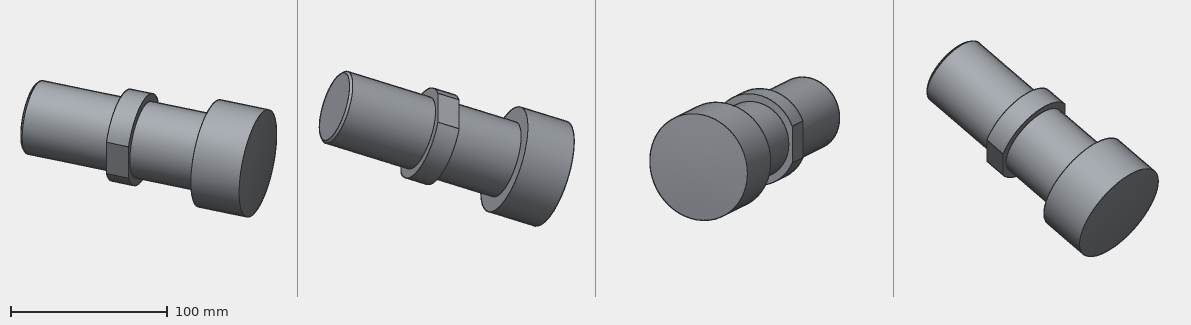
import cadquery as cq

total_length = 154.8
shank_diameter = 48.0
shank_length = 60.0
shank_chamfer = 1.5
collar_diameter = 60.0
collar_length = 15.0
collar_across_flats = 55.0
neck_diameter = 50.0
neck_length = 45.0
head_diameter = 70.0
dome_height = 1.9

collar_start = shank_length
neck_start = collar_start + collar_length
head_start = neck_start + neck_length
dome_start = total_length - dome_height


def cylinder_x(start, length, diameter):
    """Solid cylinder on the X axis, beginning at x = start."""
    return cq.Workplane("YZ", origin=(start, 0, 0)).circle(diameter / 2).extrude(length)


def make_shank():
    return cylinder_x(0, shank_length, shank_diameter).faces("<X").chamfer(shank_chamfer)


def make_collar():
    """Round collar with two parallel flats facing -Y and +Y."""
    flats = cq.Workplane("YZ", origin=(collar_start, 0, 0)).rect(
        collar_across_flats, collar_diameter
    ).extrude(collar_length)
    return cylinder_x(collar_start, collar_length, collar_diameter).intersect(flats)


def make_head():
    """Head with a shallow spherical end, revolved from its half outline."""
    radius = head_diameter / 2
    dome_radius = (radius**2 + dome_height**2) / (2 * dome_height)
    dome_center_x = total_length - dome_radius
    mid_y = radius / 2
    mid_x = dome_center_x + (dome_radius**2 - mid_y**2) ** 0.5
    return (
        cq.Workplane("XY")
        .moveTo(head_start, 0)
        .lineTo(head_start, radius)
        .lineTo(dome_start, radius)
        .threePointArc((mid_x, mid_y), (total_length, 0))
        .close()
        .revolve(360, (0, 0, 0), (1, 0, 0))
    )


neck = cylinder_x(neck_start, neck_length, neck_diameter)
result = make_shank().union(make_collar()).union(neck).union(make_head())